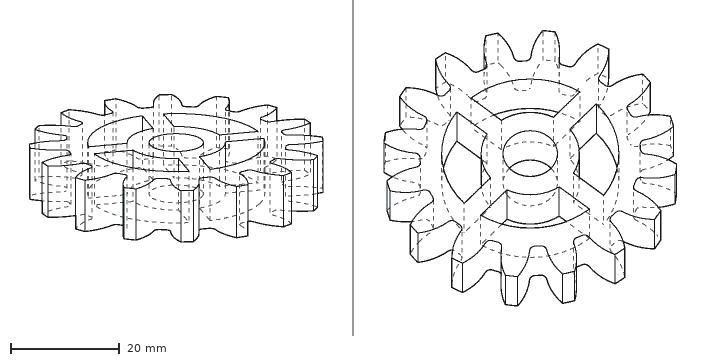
import cadquery as cq
import math

outer_width = 53.35
thickness = 10.0

tooth_count = 16
root_radius = 20.3
flank_foot = (19.9, 2.5)
flank_middle = (24.5, 2.2)
tip_half_angle = 2.45
root_fillet = 1.0

rim_inner_radius = 16.3
hub_radius = 9.0
bore_diameter = 10.0
spoke_width = 4.0

tooth_pitch = 360 / tooth_count
corner_angle = math.radians(tooth_pitch / 2 - tip_half_angle)
tip_radius = outer_width / 2 / math.cos(corner_angle)


def mirrored(point):
    """The matching point on the lower flank."""
    return point[0], -point[1]


def make_tooth():
    """One tooth along +X, starting inside the root circle so that it fuses with the disc."""
    tip_angle = math.radians(tip_half_angle)
    flank_tip = tip_radius * math.cos(tip_angle), tip_radius * math.sin(tip_angle)
    return (
        cq.Workplane("XY")
        .moveTo(*mirrored(flank_foot))
        .threePointArc(mirrored(flank_middle), mirrored(flank_tip))
        .threePointArc((tip_radius, 0), flank_tip)
        .threePointArc(flank_middle, flank_foot)
        .close()
        .extrude(thickness)
    )


def make_toothed_disc():
    """Root disc with all teeth, rounded where the teeth meet the root circle."""
    disc = cq.Workplane("XY").circle(root_radius).extrude(thickness)
    tooth = make_tooth()
    for index in range(tooth_count):
        disc = disc.union(tooth.rotate((0, 0, 0), (0, 0, 1), (index + 0.5) * tooth_pitch))

    foot_corner_limit = (root_radius + tip_radius) / 2
    foot_corners = []
    for edge in disc.edges("|Z").vals():
        center = edge.Center()
        if math.hypot(center.x, center.y) < foot_corner_limit:
            foot_corners.append(edge)
    return disc.newObject(foot_corners).fillet(root_fillet)


def make_windows():
    """Four openings between hub and rim, separated by the spokes on the X and Y axes."""
    ring = cq.Workplane("XY").circle(rim_inner_radius).circle(hub_radius).extrude(thickness)
    spoke_length = 2 * rim_inner_radius + spoke_width
    for length_x, length_y in ((spoke_length, spoke_width), (spoke_width, spoke_length)):
        spoke = cq.Workplane("XY").rect(length_x, length_y).extrude(thickness)
        ring = ring.cut(spoke)
    return ring


bore = cq.Workplane("XY").circle(bore_diameter / 2).extrude(thickness)
result = make_toothed_disc().cut(make_windows()).cut(bore)